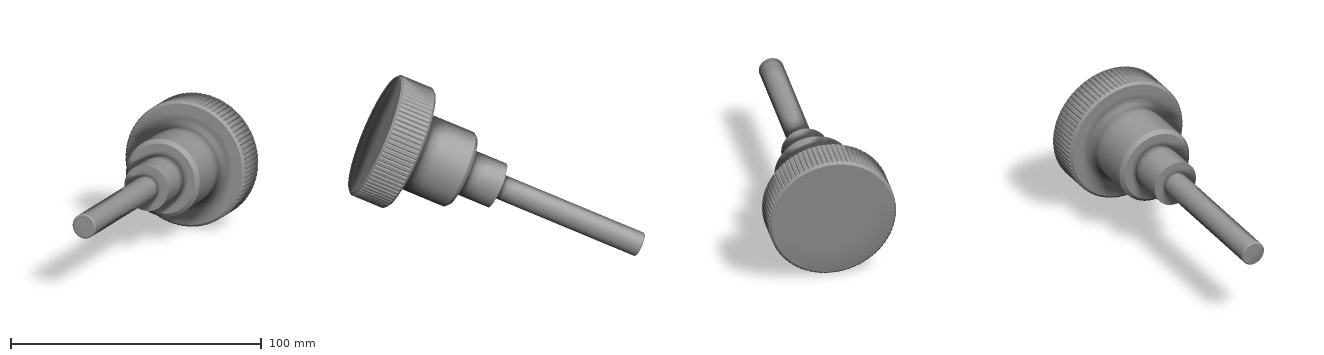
import cadquery as cq
import math


head_radius = 26.0
head_length = 15.2
head_chamfer = 1.0
hub_radius = 16.0
hub_end = 38.6
hub_chamfer = 1.5
hub_fillet = 3.2

groove_count = 80
groove_depth = 0.41
groove_width = 0.8

collar_radius = 9.5
collar_end = 54.0
rod_radius = 5.0
rod_end = 117.0
rod_chamfer = 0.5


def revolve_about_y(outline):
    """Turn an outline in the XY plane, with X as the radius, into a solid."""
    return outline.close().revolve(360, (0, 0, 0), (0, 1, 0))


def make_knob_blank():
    fillet_midpoint = hub_fillet * (1 - math.sqrt(0.5))
    outline = (
        cq.Workplane("XY")
        .lineTo(head_radius - head_chamfer, 0)
        .lineTo(head_radius, -head_chamfer)
        .lineTo(head_radius, head_chamfer - head_length)
        .lineTo(head_radius - head_chamfer, -head_length)
        .lineTo(hub_radius + hub_fillet, -head_length)
        .threePointArc(
            (hub_radius + fillet_midpoint, -head_length - fillet_midpoint),
            (hub_radius, -head_length - hub_fillet),
        )
        .lineTo(hub_radius, hub_chamfer - hub_end)
        .lineTo(hub_radius - hub_chamfer, -hub_end)
        .lineTo(0, -hub_end)
    )
    return revolve_about_y(outline)


def make_groove_cutters():
    """V-shaped bars along the whole head, the first one on the +Z side."""
    bottom_radius = head_radius - groove_depth
    top_radius = head_radius + groove_depth
    cutter = (
        cq.Workplane("XZ")
        .moveTo(0, bottom_radius)
        .lineTo(groove_width, top_radius)
        .lineTo(-groove_width, top_radius)
        .close()
        .extrude(head_length)
    )
    pitch_angle = 360 / groove_count
    return [
        cutter.val().rotate(cq.Vector(0, 0, 0), cq.Vector(0, 1, 0), index * pitch_angle)
        for index in range(groove_count)
    ]


def make_knob():
    grooves = cq.Compound.makeCompound(make_groove_cutters())
    return make_knob_blank().cut(cq.Workplane(grooves)).solids()


def make_stud():
    outline = (
        cq.Workplane("XY")
        .moveTo(0, -hub_end)
        .lineTo(collar_radius, -hub_end)
        .lineTo(collar_radius, -collar_end)
        .lineTo(rod_radius, -collar_end)
        .lineTo(rod_radius, rod_chamfer - rod_end)
        .lineTo(rod_radius - rod_chamfer, -rod_end)
        .lineTo(0, -rod_end)
    )
    return revolve_about_y(outline)


knob = make_knob()
stud = make_stud()

result = cq.Compound.makeCompound([knob.val(), stud.val()])